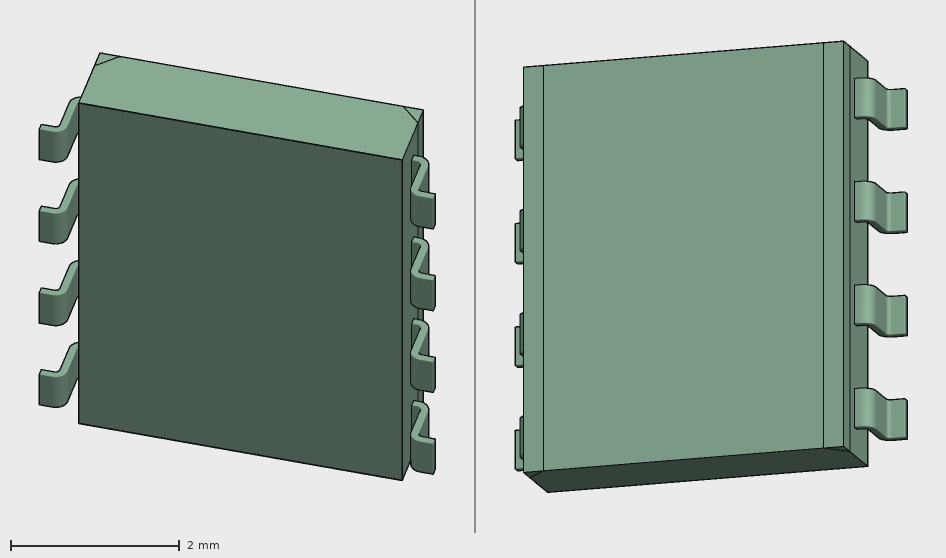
import cadquery as cq

package_width = 3.98
package_height = 4.98
package_front = 0.19
package_back = 1.15
half_width = package_width / 2

plate_thickness = 0.01
housing_front = package_front + plate_thickness
housing_depth = package_back - housing_front

strip_leg = 0.25

overall_width = 4.85
lead_thickness = 0.10
lead_width = 0.48
lead_pitch = 1.27
leads_per_side = 4
inner_bend = 0.05
outer_bend = inner_bend + lead_thickness
edge_rounding = 0.01
shoulder_back = package_back - 0.435
shoulder_front = shoulder_back - lead_thickness
foot_front = 0.0
foot_back = foot_front + lead_thickness
foot_tip = overall_width / 2
shank_outer = half_width + 0.22
shank_inner = shank_outer - lead_thickness


def make_housing_block():
    """Rectangular block with its two rear corners cut off over the full height."""
    return (
        cq.Workplane("XY")
        .box(package_width, housing_depth, package_height)
        .translate((0, (housing_front + package_back) / 2, 0))
        .edges(">Y and |Z")
        .chamfer(strip_leg)
    )


def make_lead():
    """Lead on the +X side, centred on Z = 0, with every free edge slightly rounded."""
    lead = (
        cq.Workplane("XY")
        .workplane(offset=-lead_width / 2)
        .moveTo(half_width, shoulder_back)
        .lineTo(shank_outer - outer_bend, shoulder_back)
        .tangentArcPoint((shank_outer, shoulder_back - outer_bend), relative=False)
        .lineTo(shank_outer, foot_back + inner_bend)
        .tangentArcPoint((shank_outer + inner_bend, foot_back), relative=False)
        .lineTo(foot_tip, foot_back)
        .lineTo(foot_tip, foot_front)
        .lineTo(shank_inner + outer_bend, foot_front)
        .tangentArcPoint((shank_inner, foot_front + outer_bend), relative=False)
        .lineTo(shank_inner, shoulder_front - inner_bend)
        .tangentArcPoint((shank_inner - inner_bend, shoulder_front), relative=False)
        .lineTo(half_width, shoulder_front)
        .close()
        .extrude(lead_width)
    )
    return lead.edges("(<Z or >Z or >X) except <X").fillet(edge_rounding)


def make_corner_strip(side):
    """Triangular strip in the rear corner on the given side (-1 or +1)."""
    corner = side * half_width
    return (
        cq.Workplane("XY")
        .workplane(offset=-package_height / 2)
        .moveTo(corner, package_back)
        .lineTo(corner - side * strip_leg, package_back)
        .lineTo(corner, package_back - strip_leg)
        .close()
        .extrude(package_height)
    )


def make_front_plate():
    """Thin plate over the mounting side of the housing."""
    return (
        cq.Workplane("XY")
        .box(package_width, plate_thickness, package_height)
        .translate((0, package_front + plate_thickness / 2, 0))
    )


housing = make_housing_block()
right_lead = make_lead()
left_lead = right_lead.mirror("YZ")
for index in range(leads_per_side):
    lead_z = (index - (leads_per_side - 1) / 2) * lead_pitch
    for lead in (left_lead, right_lead):
        housing = housing.union(lead.translate((0, 0, lead_z)))

corner_strips = [make_corner_strip(side) for side in (-1, 1)]
front_plate = make_front_plate()

result = cq.Compound.makeCompound(
    [housing.val(), *[strip.val() for strip in corner_strips], front_plate.val()]
)